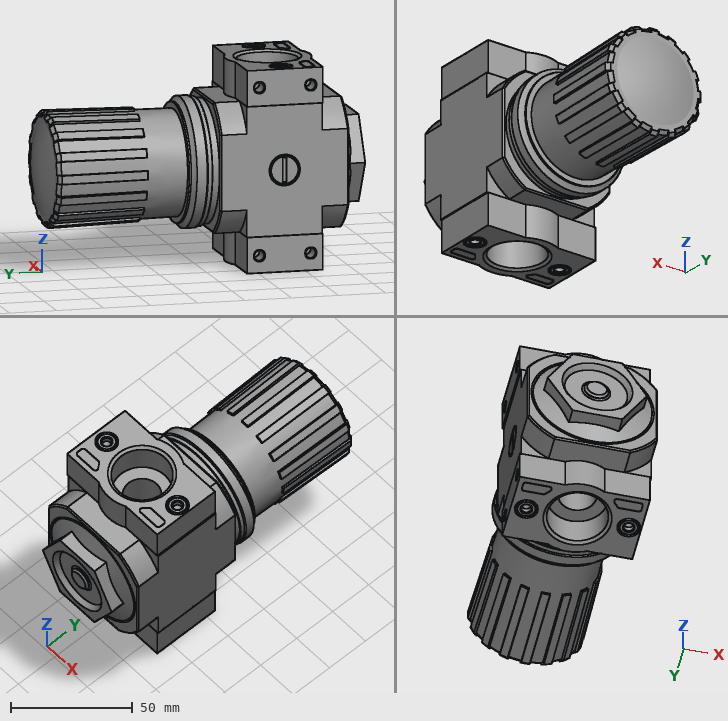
import cadquery as cq
import math


HOUSING_HALF = 27.4
HOUSING_CORNER_RADIUS = 31.7
HOUSING_END_CHAMFER = 0.7
BORE_DIAMETER = 16.0

SCREW_RING_OUTER = 13.1
SCREW_RING_INNER = 11.5
SLOT_LENGTH = 10.3
SLOT_WIDTH = 1.6
SLOT_DEPTH = 0.8

OVERALL_HEIGHT = 85.0
PLATE_TOP = OVERALL_HEIGHT / 2
PLATE_THICKNESS = PLATE_TOP - HOUSING_HALF
PLATE_WIDTH = 55.0
PLATE_LEFT = -28.1
PLATE_CENTRE_X = PLATE_LEFT + PLATE_WIDTH / 2
PLATE_HALF_DEPTH = 16.0
BULGE_RADIUS = 18.1
PORT_DIAMETER = 25.4
PORT_MOUTH_DIAMETER = 28.2
PORT_MOUTH_DEPTH = 1.0
SEAL_DIAMETER = 30.8
SEAL_DEPTH = 1.6

SIDE_HOLE_DIAMETER = 4.2
SIDE_HOLE_MOUTH_DIAMETER = 5.0
SIDE_HOLE_DEPTH = 8.1
SIDE_HOLE_Y = 11.0
SIDE_HOLE_Z = 35.2

LABEL_DEPTH = 0.3
LABEL_BOTTOM = -13.5
LABEL_TOP = -9.0
LABEL_OUTER_X = 25.2
LABEL_INNER_BOTTOM_X = 11.9
LABEL_INNER_TOP_X = 15.5
LABEL_CORNER_RADIUS = 1.2

SCREW_DIAMETER = 8.5
SCREW_MOUTH_DIAMETER = 9.6
SCREW_CHAMFER = 0.5
SCREW_X = 21.6
SOCKET_DIAMETER = 4.2
SOCKET_MOUTH_DIAMETER = 5.0
SOCKET_DEPTH = 2.7
SOCKET_POINT_DEPTH = 1.2

CAP_DIAMETER = 50.2
CAP_SEAT_DEPTH = 2.7
CAP_MOUTH_CHAMFER = 0.8
CAP_END = -36.0
CONE_TOP_RADIUS = 16.7
CONE_HEIGHT = 4.2
HEX_ACROSS_FLATS = 36.5
RECESS_DIAMETER = 29.7
RECESS_FLOOR_DIAMETER = 26.5
RECESS_CHAMFER = 0.4
RECESS_DEPTH = 2.4
BOSS_HEIGHT = 1.6
BOSS_FOOT_DIAMETER = 12.0
BOSS_DIAMETER = 10.3
BOSS_TOP_DIAMETER = 8.4

COLLAR_GROOVE_RADIUS = 26.0
COLLAR_GROOVE_END = 30.5
COLLAR_STEP_RADIUS = 26.9
COLLAR_STEP_END = 32.4
COLLAR_RING_RADIUS = 27.4
COLLAR_RING_END = 37.3
COLLAR_CONE_RADIUS = 26.3
COLLAR_CONE_START = 38.1
COLLAR_RIM_RADIUS = 25.1
COLLAR_RIM_START = 39.2
COLLAR_CHAMFER = 0.5
COLLAR_END = 40.0

KNOB_NECK_RADIUS = 22.4
KNOB_TOP_RADIUS = 23.4
KNOB_SHOULDER = 95.5
KNOB_CHAMFER = 1.6
KNOB_DOME_RADIUS = 19.6
KNOB_END = 99.0
RIB_COUNT = 16
RIB_WIDTH = 3.6
RIB_START = 57.1
RIB_START_RADIUS = 23.6
RIB_TOP_RADIUS = 24.5


def on_y_axis(profile):
    """Revolve a closed profile of (radius, Y) around the Y axis."""
    return profile.close().revolve(360, (0, 0, 0), (0, 1, 0))


def y_cone(start, start_radius, end, end_radius):
    """Truncated cone on the Y axis."""
    profile = cq.Workplane("XY").moveTo(0, start).lineTo(start_radius, start)
    return on_y_axis(profile.lineTo(end_radius, end).lineTo(0, end))


def housing_envelope():
    side = 2 * HOUSING_HALF
    block = cq.Workplane("XY").box(side, side, side)
    rounded = (
        cq.Workplane("XZ").circle(HOUSING_CORNER_RADIUS).extrude(HOUSING_HALF, both=True)
        .intersect(block)
        .faces("<Y or >Y").chamfer(HOUSING_END_CHAMFER)
    )
    middle = cq.Workplane("XY").box(side, 2 * PLATE_HALF_DEPTH, side)
    return rounded.union(middle)


def blanking_screw_marks():
    """V-shaped ring and slot cut into the -X face."""
    outer = SCREW_RING_OUTER / 2
    inner = SCREW_RING_INNER / 2
    middle = (outer + inner) / 2
    ring = (
        cq.Workplane("XY")
        .polyline([(-HOUSING_HALF, inner), (-HOUSING_HALF, outer),
                   (-HOUSING_HALF + outer - middle, middle)])
        .close().revolve(360, (0, 0, 0), (1, 0, 0))
    )
    slot = cq.Workplane("XY").box(2 * SLOT_DEPTH, SLOT_WIDTH, SLOT_LENGTH)
    return ring.union(slot.translate((-HOUSING_HALF, 0, 0)))


def make_housing():
    bore = cq.Workplane("XY").circle(BORE_DIAMETER / 2).extrude(HOUSING_HALF, both=True)
    radius = CAP_DIAMETER / 2
    front = -HOUSING_HALF
    seat = y_cone(front, radius, front + CAP_SEAT_DEPTH, radius)
    mouth = y_cone(front, radius + CAP_MOUTH_CHAMFER, front + CAP_MOUTH_CHAMFER, radius)
    return housing_envelope().cut(bore).cut(seat).cut(mouth).cut(blanking_screw_marks())


def label_pocket(side):
    """Shallow field with one slanted end; side is -1 or 1 along X."""
    points = [
        (side * LABEL_OUTER_X, LABEL_BOTTOM),
        (side * LABEL_OUTER_X, LABEL_TOP),
        (side * LABEL_INNER_TOP_X, LABEL_TOP),
        (side * LABEL_INNER_BOTTOM_X, LABEL_BOTTOM),
    ]
    floor = cq.Workplane("XY", origin=(PLATE_CENTRE_X, 0, PLATE_TOP - LABEL_DEPTH))
    return floor.polyline(points).close().extrude(LABEL_DEPTH).edges("|Z").fillet(LABEL_CORNER_RADIUS)


def countersunk_hole(entry, direction, diameter, depth, mouth_diameter, mouth_depth):
    """Cutter for a round hole that starts at entry with a conical mouth."""
    start = cq.Vector(*entry)
    axis = cq.Vector(*direction)
    hole = cq.Solid.makeCylinder(diameter / 2, depth, start, axis)
    mouth = cq.Solid.makeCone(mouth_diameter / 2, diameter / 2, mouth_depth, start, axis)
    return cq.Workplane(hole).union(cq.Workplane(mouth))


def side_hole(y):
    """Blind hole in the -X face of a plate."""
    mouth_depth = (SIDE_HOLE_MOUTH_DIAMETER - SIDE_HOLE_DIAMETER) / 2
    return countersunk_hole(
        (PLATE_LEFT, y, SIDE_HOLE_Z), (1, 0, 0),
        SIDE_HOLE_DIAMETER, SIDE_HOLE_DEPTH, SIDE_HOLE_MOUTH_DIAMETER, mouth_depth)


def screw_hole(side):
    mouth_depth = (SCREW_MOUTH_DIAMETER - SCREW_DIAMETER) / 2
    return countersunk_hole(
        (side * SCREW_X, 0, PLATE_TOP), (0, 0, -1),
        SCREW_DIAMETER, PLATE_THICKNESS, SCREW_MOUTH_DIAMETER, mouth_depth)


def make_top_plate():
    base = cq.Workplane("XY", origin=(PLATE_CENTRE_X, 0, HOUSING_HALF))
    plate = base.rect(PLATE_WIDTH, 2 * PLATE_HALF_DEPTH).extrude(PLATE_THICKNESS)
    plate = plate.union(base.circle(BULGE_RADIUS).extrude(PLATE_THICKNESS))
    port = countersunk_hole(
        (0, 0, PLATE_TOP), (0, 0, -1),
        PORT_DIAMETER, PLATE_THICKNESS, PORT_MOUTH_DIAMETER, PORT_MOUTH_DEPTH)
    seal = cq.Workplane("XY", origin=(0, 0, HOUSING_HALF)).circle(SEAL_DIAMETER / 2).extrude(SEAL_DEPTH)
    plate = plate.cut(port).cut(seal)
    for side in (-1, 1):
        plate = plate.cut(screw_hole(side))
        plate = plate.cut(label_pocket(side))
        plate = plate.cut(side_hole(side * SIDE_HOLE_Y))
    return plate


def make_screw(side, end):
    """Plate screw at side (-1 or 1) along X and end (-1 or 1) along Z."""
    screw = cq.Workplane("XY", origin=(side * SCREW_X, 0, HOUSING_HALF))
    screw = screw.circle(SCREW_DIAMETER / 2).extrude(PLATE_THICKNESS).faces(">Z").chamfer(SCREW_CHAMFER)
    mouth_depth = (SOCKET_MOUTH_DIAMETER - SOCKET_DIAMETER) / 2
    socket = countersunk_hole(
        (side * SCREW_X, 0, PLATE_TOP), (0, 0, -1),
        SOCKET_DIAMETER, SOCKET_DEPTH, SOCKET_MOUTH_DIAMETER, mouth_depth)
    point = cq.Solid.makeCone(
        SOCKET_DIAMETER / 2, 0, SOCKET_POINT_DEPTH,
        cq.Vector(side * SCREW_X, 0, PLATE_TOP - SOCKET_DEPTH), cq.Vector(0, 0, -1))
    screw = screw.cut(socket).cut(cq.Workplane(point))
    return screw if end > 0 else screw.mirror("XY")


def make_cap():
    front = -HOUSING_HALF
    radius = CAP_DIAMETER / 2
    cap = y_cone(front, radius, front + CAP_SEAT_DEPTH, radius)
    cap = cap.union(y_cone(front - CONE_HEIGHT, CONE_TOP_RADIUS, front, radius))
    across_corners = HEX_ACROSS_FLATS / math.cos(math.pi / 6)
    hexagon = cq.Workplane("XZ", origin=(0, front, 0)).polygon(6, across_corners).extrude(front - CAP_END)
    floor = CAP_END + RECESS_DEPTH
    rim_radius = RECESS_DIAMETER / 2
    wall_start = CAP_END + RECESS_CHAMFER
    rim = y_cone(CAP_END, rim_radius, wall_start, rim_radius - RECESS_CHAMFER)
    recess = y_cone(wall_start, rim_radius - RECESS_CHAMFER, floor, RECESS_FLOOR_DIAMETER / 2)
    boss_top = floor - BOSS_HEIGHT
    flare = (BOSS_FOOT_DIAMETER - BOSS_DIAMETER) / 2
    chamfer = (BOSS_DIAMETER - BOSS_TOP_DIAMETER) / 2
    boss = on_y_axis(
        cq.Workplane("XY").moveTo(0, floor)
        .lineTo(BOSS_FOOT_DIAMETER / 2, floor)
        .lineTo(BOSS_DIAMETER / 2, floor - flare / 2)
        .lineTo(BOSS_DIAMETER / 2, boss_top + chamfer)
        .lineTo(BOSS_TOP_DIAMETER / 2, boss_top)
        .lineTo(0, boss_top)
    )
    return cap.union(hexagon).cut(rim).cut(recess).union(boss)


def make_collar():
    return on_y_axis(
        cq.Workplane("XY").moveTo(0, HOUSING_HALF)
        .lineTo(COLLAR_GROOVE_RADIUS, HOUSING_HALF)
        .lineTo(COLLAR_GROOVE_RADIUS, COLLAR_GROOVE_END)
        .lineTo(COLLAR_STEP_RADIUS, COLLAR_GROOVE_END)
        .lineTo(COLLAR_STEP_RADIUS, COLLAR_STEP_END)
        .lineTo(COLLAR_RING_RADIUS, COLLAR_STEP_END + COLLAR_CHAMFER)
        .lineTo(COLLAR_RING_RADIUS, COLLAR_RING_END)
        .lineTo(COLLAR_CONE_RADIUS, COLLAR_CONE_START)
        .lineTo(COLLAR_RIM_RADIUS, COLLAR_RIM_START)
        .lineTo(COLLAR_RIM_RADIUS, COLLAR_END)
        .lineTo(0, COLLAR_END)
    )


def make_rib():
    """Tapered rib on the +X side of the knob, chamfered at its top."""
    return (
        cq.Workplane("XY").moveTo(KNOB_DOME_RADIUS, RIB_START)
        .lineTo(RIB_START_RADIUS, RIB_START)
        .lineTo(RIB_TOP_RADIUS, KNOB_SHOULDER - KNOB_CHAMFER)
        .lineTo(RIB_TOP_RADIUS - KNOB_CHAMFER, KNOB_SHOULDER)
        .lineTo(KNOB_DOME_RADIUS, KNOB_SHOULDER)
        .close().extrude(RIB_WIDTH / 2, both=True)
    )


def make_knob():
    rise = KNOB_END - KNOB_SHOULDER
    sphere_radius = (KNOB_DOME_RADIUS**2 + rise**2) / (2 * rise)
    half_angle = math.asin(KNOB_DOME_RADIUS / sphere_radius) / 2
    dome_middle = (
        sphere_radius * math.sin(half_angle),
        KNOB_END - sphere_radius * (1 - math.cos(half_angle)),
    )
    knob = on_y_axis(
        cq.Workplane("XY").moveTo(0, COLLAR_END)
        .lineTo(KNOB_NECK_RADIUS, COLLAR_END)
        .lineTo(KNOB_TOP_RADIUS, KNOB_SHOULDER - KNOB_CHAMFER)
        .lineTo(KNOB_TOP_RADIUS - KNOB_CHAMFER, KNOB_SHOULDER)
        .lineTo(KNOB_DOME_RADIUS, KNOB_SHOULDER)
        .threePointArc(dome_middle, (0, KNOB_END))
    )
    rib = make_rib()
    for index in range(RIB_COUNT):
        knob = knob.union(rib.rotate((0, 0, 0), (0, 1, 0), index * 360 / RIB_COUNT))
    return knob


housing = make_housing()
top_plate = make_top_plate()
bottom_plate = top_plate.mirror("XY")
screws = [make_screw(side, end) for side in (-1, 1) for end in (-1, 1)]
cap = make_cap()
collar = make_collar()
knob = make_knob()

result = cq.Compound.makeCompound([
    housing.val(),
    top_plate.val(),
    bottom_plate.val(),
    *[screw.val() for screw in screws],
    cap.val(),
    collar.val(),
    knob.val(),
])